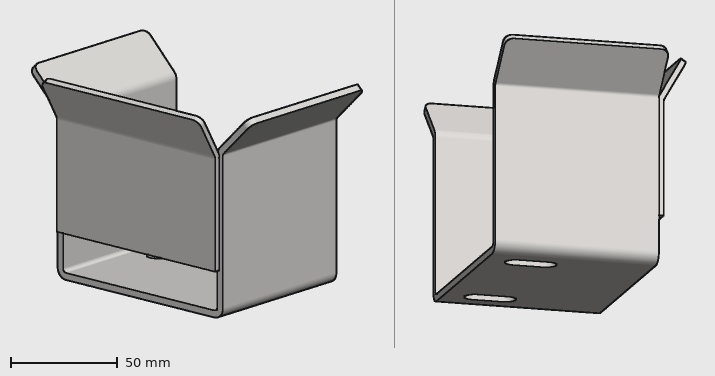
import cadquery as cq
import math

overall_height = 101.3
corner_radius = 4.0

channel_width = 104.1
channel_depth = 80.0
channel_sheet = 3.5
channel_bend = 2.0
wall_height = 80.0
side_flare = 45.0

plate_width = 99.8
plate_sheet = 3.0
plate_bend = 3.5
plate_bottom = 23.7
plate_bend_height = 78.6
front_flare = 30.0

slot_width = 10.0
slot_length = 25.0
slot_spacing = 68.0
slot_from_back = 22.5


def flared_strip(plane, bottom, bend_start, sheet, bend, flare, length):
    """Upright sheet whose top leans toward the plane's x axis, centred along its normal.

    The concave face starts on local x = 0 and the convex face on x = -sheet;
    local y is height. The two free corners of the lip are rounded.
    """
    outer_bend = bend + sheet
    angle = math.radians(flare)

    def on_bend(radius, turn):
        return bend - radius * math.cos(turn), bend_start + radius * math.sin(turn)

    convex_end = on_bend(outer_bend, angle)
    concave_end = on_bend(bend, angle)
    lip_rise = overall_height - convex_end[1]
    lip_reach = lip_rise * math.tan(angle)

    strip = (
        cq.Workplane(plane)
        .moveTo(-sheet, bottom)
        .lineTo(-sheet, bend_start)
        .threePointArc(on_bend(outer_bend, angle / 2), convex_end)
        .line(lip_reach, lip_rise)
        .lineTo(concave_end[0] + lip_reach, concave_end[1] + lip_rise)
        .lineTo(*concave_end)
        .threePointArc(on_bend(bend, angle / 2), (0, bend_start))
        .lineTo(0, bottom)
        .close()
        .extrude(length / 2, both=True)
    )
    along_lip = plane.xDir * math.sin(angle) + cq.Vector(0, 0, math.cos(angle))
    across_lip = plane.xDir * math.cos(angle) - cq.Vector(0, 0, math.sin(angle))
    lip_end = strip.faces(cq.DirectionMinMaxSelector(along_lip))
    return lip_end.edges(cq.ParallelDirSelector(across_lip)).fillet(corner_radius)


def side_wall():
    """Right-hand wall of the channel with its lip, from the top of the floor bend up."""
    plane = cq.Plane(
        origin=(channel_width / 2, channel_depth / 2, 0),
        xDir=(1, 0, 0),
        normal=(0, -1, 0),
    )
    floor_bend_top = channel_sheet + channel_bend
    return flared_strip(
        plane, floor_bend_top, wall_height, channel_sheet, channel_bend, side_flare, channel_depth
    )


def front_plate():
    """Plate standing against the front edges of the walls, its lip leaning forward."""
    plane = cq.Plane(origin=(0, -plate_sheet, 0), xDir=(0, -1, 0), normal=(-1, 0, 0))
    return flared_strip(
        plane, plate_bottom, plate_bend_height, plate_sheet, plate_bend, front_flare, plate_width
    )


def channel_floor():
    """Floor with a quarter-round bend up to each wall."""
    outer_bend = channel_bend + channel_sheet

    def rounded_block(width, bottom, radius):
        return (
            cq.Workplane("XY", origin=(0, channel_depth / 2, bottom))
            .rect(width, channel_depth)
            .extrude(overall_height)
            .edges("|Y and <Z")
            .fillet(radius)
        )

    outside = rounded_block(channel_width, 0, outer_bend)
    inside = rounded_block(channel_width - 2 * channel_sheet, channel_sheet, channel_bend)
    above_bend = (
        cq.Workplane("XY", origin=(0, channel_depth / 2, outer_bend))
        .rect(channel_width, channel_depth)
        .extrude(overall_height)
    )
    return outside.cut(inside).cut(above_bend)


def mounting_slots():
    """Cutters for the two floor slots, long in Y."""
    return (
        cq.Workplane("XY")
        .pushPoints([(side * slot_spacing / 2, channel_depth - slot_from_back) for side in (-1, 1)])
        .slot2D(slot_length, slot_width, 90)
        .extrude(channel_sheet)
    )


right_wall = side_wall()
left_wall = right_wall.mirror("YZ")
floor = channel_floor().cut(mounting_slots())
result = floor.union(right_wall).union(left_wall).union(front_plate())